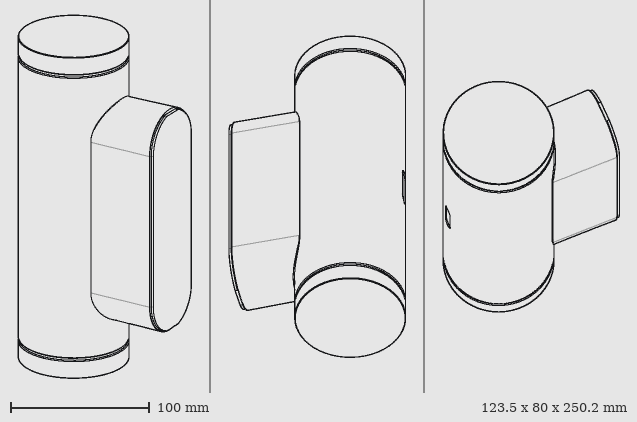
import cadquery as cq
import math

tube_length = 250.2
tube_radius = 40.0
end_chamfer = 0.5

groove_offset = 14.8
groove_mouth = 3.0
groove_floor = 1.5
groove_depth = 0.8

recess_width = 8.3
recess_height = 30.8
recess_depth = 1.0

arm_straight = 117.3
arm_root_radius = 26.8
arm_end_radius = 27.3
arm_end_x = 81.0
root_gap = 1.0
neck_inset = 1.5
arm_taper_length = arm_end_x - math.sqrt(tube_radius**2 - arm_root_radius**2)
arm_draft = math.degrees(math.atan((arm_end_radius - arm_root_radius) / arm_taper_length))

overall_x = 123.5
pad_thickness = overall_x - tube_radius - arm_end_x
pad_inset = 1.3
pad_flare = 0.8
pad_flat_width = 15.0
pad_radius = arm_end_radius - pad_inset


def stadium(x, radius):
    """Upright slot outline at the given X, with its end arcs arm_straight apart."""
    return (
        cq.Workplane("YZ", origin=(x, 0, 0))
        .slot2D(arm_straight + 2 * radius, 2 * radius, angle=90)
    )


def groove_cutter(middle_z):
    """Ring of trapezoid section that cuts one groove around the tube."""
    floor_radius = tube_radius - groove_depth
    return (
        cq.Workplane("XZ")
        .moveTo(tube_radius, middle_z - groove_mouth / 2)
        .lineTo(floor_radius, middle_z - groove_floor / 2)
        .lineTo(floor_radius, middle_z + groove_floor / 2)
        .lineTo(tube_radius, middle_z + groove_mouth / 2)
        .close()
        .revolve(360, (0, 0, 0), (0, 1, 0))
    )


def make_tube():
    tube = (
        cq.Workplane("XY")
        .circle(tube_radius)
        .extrude(tube_length / 2, both=True)
        .faces("|Z")
        .edges()
        .chamfer(end_chamfer)
    )
    for side in (-1, 1):
        tube = tube.cut(groove_cutter(side * (tube_length / 2 - groove_offset)))
    recess = (
        cq.Workplane("YZ", origin=(-tube_radius, 0, 0))
        .slot2D(recess_height, recess_width, angle=90)
        .extrude(recess_depth)
    )
    return tube.cut(recess)


def tube_envelope(radius):
    """Plain cylinder on the tube axis, for shaping the root of the arm."""
    return cq.Workplane("XY").circle(radius).extrude(tube_length / 2, both=True)


def make_arm_shell():
    """Full arm section, starting just clear of the tube."""
    section = stadium(arm_end_x, arm_end_radius).extrude(-arm_end_x, taper=arm_draft)
    return section.cut(tube_envelope(tube_radius + root_gap))


def make_neck():
    """Inset core of the arm that reaches the tube surface."""
    core = stadium(0, arm_root_radius - neck_inset).extrude(arm_end_x)
    return core.cut(tube_envelope(tube_radius))


def make_wall_pad():
    """Rounded pad whose two ends are trimmed to a short level edge."""
    pad = stadium(arm_end_x, pad_radius).extrude(pad_thickness)
    flare = stadium(arm_end_x, pad_radius + pad_flare).extrude(pad_flare, taper=45)
    end_sag = pad_radius - math.sqrt(pad_radius**2 - (pad_flat_width / 2) ** 2)
    trimmed_height = arm_straight + 2 * (pad_radius - end_sag)
    trim = cq.Workplane("XY").box(2 * overall_x, 2 * tube_radius, trimmed_height)
    return pad.union(flare).intersect(trim)


def make_arm():
    return make_arm_shell().union(make_neck()).union(make_wall_pad())


lamp_tube = make_tube()
wall_arm = make_arm()

result = cq.Compound.makeCompound([*lamp_tube.solids().vals(), *wall_arm.solids().vals()])